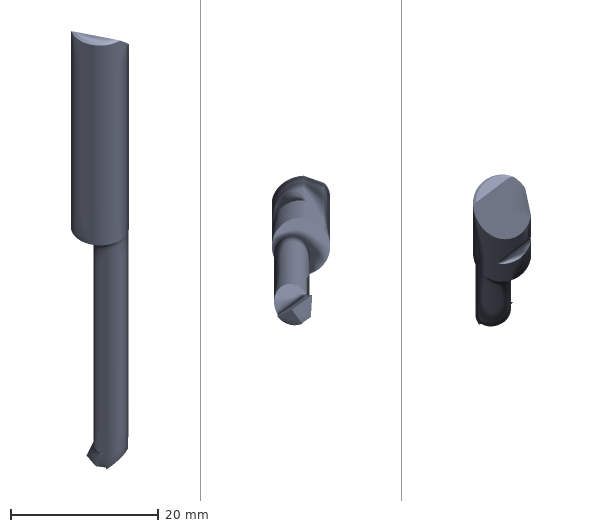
import cadquery as cq
import math

total_length = 76.2
shank_diameter = 7.9
shank_length = 35.4
neck_diameter = 4.8

flat_arc = 48.0
end_slope_start_y = -2.2
rim_chamfer_width = 0.4
rim_chamfer_height = 0.2
notch_top_z = 62.5
notch_bottom_z = 53.25
notch_depth = 1.4
notch_fillet = 0.6

head_height = 2.9
neck_slope_bottom_z = 4.3
tip_x = -1.9
relief_width = 1.8
bottom_rise_back = 0.4
bottom_rise_side = 0.2

shank_radius = shank_diameter / 2
neck_radius = neck_diameter / 2
shank_bottom_z = total_length - shank_length
neck_axis_x = shank_radius - neck_radius
neck_left_x = neck_axis_x - neck_radius
rake_y = 0.0
back_y = -neck_radius


def prism_along_x(points):
    """Y-Z outline extruded through the full width of the part."""
    return cq.Workplane("YZ").polyline(points).close().extrude(shank_radius, both=True)


def make_shank():
    """Round shank with a conical rim at its top end."""
    half_outline = [
        (0, shank_bottom_z),
        (shank_radius, shank_bottom_z),
        (shank_radius, total_length - rim_chamfer_height),
        (shank_radius - rim_chamfer_width, total_length),
        (0, total_length),
    ]
    return cq.Workplane("XZ").polyline(half_outline).close().revolve(360, (0, 0, 0), (0, 1, 0))


def make_side_flat():
    """Material outside the flat, whose lower edge lies at the -X point of the shank."""
    half_arc = flat_arc / 2
    flat_distance = shank_radius * math.cos(math.radians(half_arc))
    return (
        cq.Workplane("XY")
        .box(shank_radius, shank_diameter, shank_length, centered=(False, True, False))
        .translate((flat_distance, 0, shank_bottom_z))
        .rotate((0, 0, 0), (0, 0, 1), 180 - half_arc)
    )


def make_end_slope():
    """Wedge above the 45 degree slope that falls toward +Y."""
    slope_run = shank_radius - end_slope_start_y
    return prism_along_x([
        (end_slope_start_y, total_length),
        (shank_radius, total_length),
        (shank_radius, total_length - slope_run),
    ])


def make_notch():
    """Ramped clamping notch in the +Y side, with a rounded inner corner."""
    floor_y = shank_radius - notch_depth
    notch = prism_along_x([
        (shank_radius, notch_top_z),
        (shank_radius, notch_bottom_z),
        (floor_y, notch_bottom_z),
    ])
    return notch.edges("|X").edges("<Y").fillet(notch_fillet)


def make_neck():
    """Slender neck, halved at the rake face below a 45 degree slope."""
    neck = cq.Workplane("XY").center(neck_axis_x, 0).circle(neck_radius).extrude(shank_bottom_z)
    halving = prism_along_x([
        (rake_y, 0),
        (rake_y, neck_slope_bottom_z),
        (neck_radius, neck_slope_bottom_z + neck_radius),
        (neck_radius, 0),
    ])
    head_space = (
        cq.Workplane("XY")
        .box(neck_radius, neck_diameter, head_height, centered=(False, True, False))
        .translate((neck_left_x, 0, 0))
    )
    corner = (
        cq.Workplane("XZ")
        .moveTo(neck_axis_x, bottom_rise_side)
        .lineTo(shank_radius, bottom_rise_side + neck_radius)
        .lineTo(shank_radius, 0)
        .lineTo(neck_axis_x, 0)
        .close()
        .extrude(neck_radius, both=True)
    )
    return neck.cut(halving).cut(head_space).cut(corner)


def head_section(workplane, left_x):
    """Horizontal section of the head, with the slanted flank on its left."""
    return workplane.polyline([
        (left_x, rake_y),
        (left_x + relief_width, back_y),
        (neck_axis_x, back_y),
        (neck_axis_x, rake_y),
    ]).close()


def make_head():
    """Cutting head leaning out to the tip, with its bottom relieved behind the edge."""
    head = head_section(cq.Workplane("XY"), tip_x)
    head = head_section(head.workplane(offset=head_height), neck_left_x).loft(ruled=True)
    relief_outline = cq.Workplane("YZ", origin=(tip_x, 0, 0)).polyline([
        (rake_y, 0),
        (back_y, bottom_rise_back),
        (back_y, -head_height),
        (rake_y, -head_height),
    ]).close()
    head_width = neck_axis_x - tip_x
    side_angle = math.degrees(math.atan2(bottom_rise_side, head_width))
    relief = relief_outline.extrude(2 * head_width)
    relief = relief.rotate((tip_x, 0, 0), (tip_x, 1, 0), -side_angle)
    return head.cut(relief)


shank = make_shank().cut(make_side_flat()).cut(make_end_slope()).cut(make_notch())
result = shank.union(make_neck()).union(make_head())